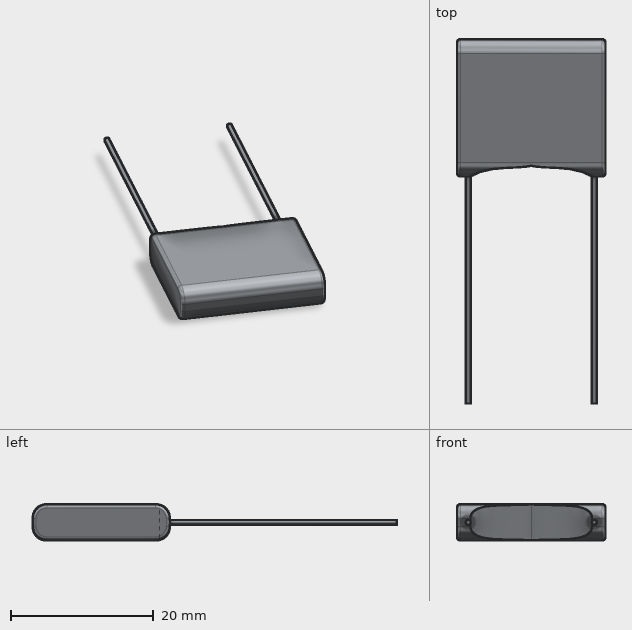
import cadquery as cq

total_length = 51.05
housing_width = 20.85
housing_length = 19.25
housing_thickness = 5.1

long_edge_radius = 2.0
side_edge_radius = 0.5

hollow_width = 17.05
hollow_depth = 1.5
hollow_shoulder_x = 7.25
hollow_shoulder_depth = 0.6
hollow_flank_x = 3.85
hollow_flank_depth = 1.15

lead_diameter = 0.7
lead_spacing = 17.65
lead_length = total_length - housing_length


def make_housing():
    """Flat box with rounded ends; its lead end lies in the plane Y = 0."""
    body = (
        cq.Workplane("XY")
        .box(housing_width, housing_length, housing_thickness)
        .translate((0, housing_length / 2, 0))
        .edges("|X")
        .fillet(long_edge_radius)
        .faces("<X or >X")
        .edges()
        .fillet(side_edge_radius)
    )
    return body.cut(make_hollow())


def make_hollow():
    """Volume removed between the leads, through the full thickness."""
    half_width = hollow_width / 2
    left_curve = [
        (-half_width, 0),
        (-hollow_shoulder_x, hollow_shoulder_depth),
        (-hollow_flank_x, hollow_flank_depth),
        (0, hollow_depth),
    ]
    right_curve = [(-x, y) for x, y in reversed(left_curve)]
    return (
        cq.Workplane("XY", origin=(0, 0, -housing_thickness / 2))
        .moveTo(*left_curve[0])
        .spline(left_curve[1:], includeCurrent=True)
        .spline(right_curve[1:], includeCurrent=True)
        .close()
        .extrude(housing_thickness)
    )


def make_lead(x):
    """Straight round wire that starts on the lead end of the housing."""
    return cq.Workplane("XZ", origin=(x, 0, 0)).circle(lead_diameter / 2).extrude(lead_length)


housing = make_housing()
leads = [make_lead(side * lead_spacing / 2) for side in (-1, 1)]

result = cq.Compound.makeCompound([housing.val(), *[lead.val() for lead in leads]])